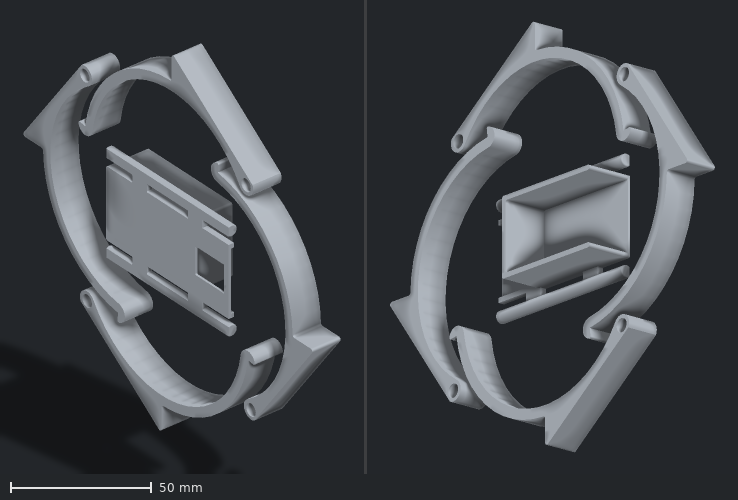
import cadquery as cq
import math


arm_depth = 13.0
ring_inner_radius = 45.0
ring_thickness = 4.0
ring_outer_radius = ring_inner_radius + ring_thickness
eye_radius = ring_thickness
eye_wall = 1.38
eye_hole_radius = eye_radius - eye_wall
eye_angle = 31.5
hook_angle = 172.0
hook_reach = 3.9
hook_depth = 3.7
apex_height = 61.0
flank_slope = 36.5
apex_fillet = 1.0
fin_root_fillet = 1.0
hook_tip_fillet = 0.6

arm_places = [
    ((2.1, 20.1), 0),
    ((-21.1, 6.2), 90),
    ((-3.5, -20.1), 180),
    ((21.1, -5.2), 270),
]

plate_length = 69.0
plate_center_x = -0.3
plate_center_z = 0.5
plate_thickness = 1.0
edge_depth = 2.5
wall = 2.0

box_length = 47.9
box_height = 31.0
tray_depth = 19.0
box_fillet = 1.0
open_end_fillet = 0.9

rail_height = 4.9
rail_radius = rail_height / 2
rail_flat_height = 3.9
rail_end_fillet = 0.5
rail_gap = 3.0
bridge_width = 8.1
bridge_offset = 15.5
slot_end_fillet = 0.5

window_width = 16.0
window_height = 12.0
window_margin = 2.8
window_fillet = 0.5

plate_left = plate_center_x - plate_length / 2
plate_right = plate_center_x + plate_length / 2
box_right = plate_left + box_length


def block(x_min, x_max, y_min, y_max, z_min, z_max):
    """Rectangular block between the given limits."""
    return cq.Workplane("XY").box(
        x_max - x_min, y_max - y_min, z_max - z_min, centered=False
    ).translate((x_min, y_min, z_min))


def polar(radius, angle):
    """Point at a radius and an angle in degrees from the ring centre."""
    return (radius * math.cos(math.radians(angle)), radius * math.sin(math.radians(angle)))


def extrude_back(sketch, depth):
    """Extrude a profile drawn in the XZ plane from Y = 0 toward +Y."""
    return sketch.extrude(-depth)


def flank_end(eye):
    """Outer point where the straight flank that starts at the apex meets the eye."""
    along = (math.cos(math.radians(flank_slope)), -math.sin(math.radians(flank_slope)))
    to_eye = (eye[0], eye[1] - apex_height)
    foot = to_eye[0] * along[0] + to_eye[1] * along[1]
    offset = to_eye[0] * along[1] - to_eye[1] * along[0]
    length = foot + math.sqrt(eye_radius**2 - offset**2)
    return (length * along[0], apex_height + length * along[1])


def make_arm():
    """One arm about its ring centre: ring arc with a hook, a triangular fin and an eye."""
    eye = polar(ring_outer_radius, eye_angle)
    eye_inner = polar(ring_inner_radius, eye_angle)
    hook_inner = polar(ring_inner_radius, hook_angle)
    hook_corner = polar(ring_outer_radius, hook_angle)
    hook_tip = polar(ring_outer_radius + hook_reach, hook_angle)
    hook_direction = math.radians(hook_angle + 90)
    hook_bottom = (
        hook_corner[0] + hook_depth * math.cos(hook_direction),
        hook_corner[1] + hook_depth * math.sin(hook_direction),
    )
    away = math.radians(eye_angle - 60)
    eye_far = (eye[0] + eye_radius * math.cos(away), eye[1] + eye_radius * math.sin(away))
    middle_angle = (eye_angle + hook_angle) / 2

    arm = extrude_back(
        cq.Workplane("XZ")
        .moveTo(0, apex_height)
        .lineTo(*flank_end(eye))
        .threePointArc(eye_far, eye_inner)
        .threePointArc(polar(ring_inner_radius, middle_angle), hook_inner)
        .threePointArc(hook_bottom, hook_tip)
        .lineTo(*hook_corner)
        .threePointArc(polar(ring_outer_radius, (90 + hook_angle) / 2), (0, ring_outer_radius))
        .close(),
        arm_depth,
    )

    def edge_at(point):
        return cq.selectors.NearestToPointSelector((point[0], arm_depth / 2, point[1]))

    arm = arm.edges(edge_at((0, apex_height))).fillet(apex_fillet)
    arm = arm.edges(edge_at((0, ring_outer_radius))).fillet(fin_root_fillet)
    arm = arm.edges(edge_at(hook_tip)).fillet(hook_tip_fillet)
    hole = extrude_back(cq.Workplane("XZ").center(*eye).circle(eye_hole_radius), arm_depth)
    return arm.cut(hole)


def make_box():
    """Plate with thick long edges, backed by a box that is open at the back and the left end."""
    half_height = box_height / 2
    inner_half_height = half_height - wall
    plate = block(plate_left, plate_right, 0, edge_depth, -half_height, half_height)
    box = block(plate_left, box_right, 0, tray_depth, -half_height, half_height)
    box = box.edges("|Y and >X").fillet(box_fillet)
    cavity = block(
        plate_left,
        box_right - wall,
        plate_thickness,
        tray_depth,
        -inner_half_height,
        inner_half_height,
    )
    cavity = cavity.edges("|Y and >X").fillet(box_fillet)
    relief = block(
        box_right,
        plate_right,
        plate_thickness,
        edge_depth,
        -inner_half_height,
        inner_half_height,
    )
    tray = plate.union(box).cut(cavity).cut(relief)
    return tray.edges("|Y and <X").fillet(open_end_fillet)


def make_rail():
    """Upper rail: a round rod with a flat front and rounded ends, and the bridges below it."""
    half_flat = rail_flat_height / 2
    rod_y = math.sqrt(rail_radius**2 - half_flat**2)
    bottom = box_height / 2 + rail_gap
    rod_z = bottom + rail_radius
    front_arc_y = rod_y - rail_radius * math.cos(math.radians(70))
    front_arc_z = rail_radius * math.sin(math.radians(70))
    rod = (
        cq.Workplane("YZ")
        .moveTo(0, -half_flat)
        .lineTo(0, half_flat)
        .threePointArc((front_arc_y, front_arc_z), (rod_y, rail_radius))
        .threePointArc((rod_y + rail_radius, 0), (rod_y, -rail_radius))
        .threePointArc((front_arc_y, -front_arc_z), (0, -half_flat))
        .close()
        .extrude(plate_length)
        .faces("<X or >X")
        .edges()
        .fillet(rail_end_fillet)
    )
    rail = rod.translate((plate_left, 0, rod_z))
    for side in (-1, 1):
        middle = plate_center_x + side * bridge_offset
        bridge = block(
            middle - bridge_width / 2,
            middle + bridge_width / 2,
            0,
            edge_depth,
            box_height / 2 - wall,
            rod_z,
        )
        rail = rail.union(bridge)
    return rail


def make_window():
    """Cutter for the window, with its two left corners rounded."""
    right = plate_right - window_margin
    cutter = block(right - window_width, right, 0, plate_thickness, -window_height / 2, window_height / 2)
    return cutter.edges("|Y and <X").fillet(window_fillet)


def round_slot_ends(tray):
    """Round the slot corners on both sides of the left bridges."""
    middle = plate_center_x - bridge_offset
    for x in (middle - bridge_width / 2, middle + bridge_width / 2):
        for side in (-1, 1):
            for z in (box_height / 2, box_height / 2 + rail_gap):
                corner = cq.selectors.NearestToPointSelector((x, edge_depth / 2, side * z))
                tray = tray.edges(corner).fillet(slot_end_fillet)
    return tray


def make_tray():
    """Box, both rails with their bridges, and the window, as one body."""
    rail = make_rail()
    tray = make_box().union(rail).union(rail.mirror("XY")).cut(make_window())
    tray = round_slot_ends(tray)
    return tray.translate((0, 0, plate_center_z))


arm = make_arm()
arms = []
for (x, z), turn in arm_places:
    arms.append(arm.rotate((0, 0, 0), (0, 1, 0), -turn).translate((x, 0, z)))

tray = make_tray()

result = cq.Compound.makeCompound([tray.val(), *[placed.val() for placed in arms]])